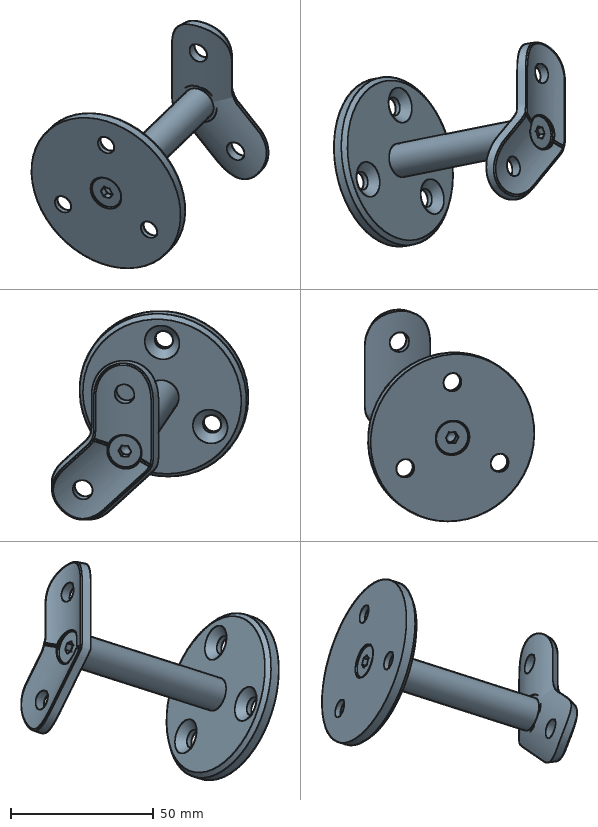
import cadquery as cq
import math


plate_diameter = 60.0
plate_thickness = 5.0
plate_chamfer = 1.5
mount_hole_diameter = 6.5
mount_countersink_depth = 3.0
mount_countersink_diameter = mount_hole_diameter + 2 * mount_countersink_depth
mount_hole_count = 3
mount_circle_radius = 20.0
first_mount_hole_angle = 90

screw_shank_diameter = 6.0
screw_clearance_diameter = 6.2
screw_head_diameter = 11.6
countersink_diameter = 12.5
countersink_depth = (countersink_diameter - screw_clearance_diameter) / 2
screw_tip = 20.0
socket_width = 4.0
socket_depth = 2.5
socket_tip_depth = socket_width / 4
screw_head_sink = (countersink_diameter - screw_head_diameter) / 2
screw_head_end = screw_head_sink + (screw_head_diameter - screw_shank_diameter) / 2

rod_diameter = 12.0
rod_seat_diameter = 14.5
rod_seat_depth = 0.5

saddle_front = 66.95
saddle_thickness = 3.65
rail_radius = 24.15
saddle_outer_radius = rail_radius + saddle_thickness
saddle_back = saddle_front + saddle_thickness
rail_axis_y = saddle_front + saddle_outer_radius
arm_half_width = 12.0
arm_straight_length = 20.0
arm_end_depth = 12.5
arm_length = arm_straight_length + arm_end_depth
arm_half_angle = math.asin(arm_half_width / saddle_outer_radius)
arm_hole_diameter = 7.0
arm_hole_distance = 21.3
arm_angle = 135
mitre_angle = math.radians(90 - arm_angle / 2)
corner_radius = 8.4
inner_rim_chamfer = 0.5
wedge_near = 0.8 * rail_radius
wedge_far = 1.2 * saddle_outer_radius

rod_end = saddle_front + rod_seat_depth


def cylinder_y(diameter, start, end, x=0, z=0):
    """Cylinder along +Y from y = start to y = end."""
    axis_start = cq.Vector(x, start, z)
    return cq.Workplane(cq.Solid.makeCylinder(diameter / 2, end - start, axis_start, cq.Vector(0, 1, 0)))


def cone_y(start_diameter, end_diameter, start, end):
    """Cone on the Y axis from y = start to y = end."""
    return cq.Workplane(cq.Solid.makeCone(
        start_diameter / 2, end_diameter / 2, end - start, cq.Vector(0, start, 0), cq.Vector(0, 1, 0)))


def make_plate():
    plate = cylinder_y(plate_diameter, 0, plate_thickness).faces(">Y").chamfer(plate_chamfer)
    for i in range(mount_hole_count):
        angle = math.radians(first_mount_hole_angle + i * 360 / mount_hole_count)
        x = mount_circle_radius * math.cos(angle)
        z = mount_circle_radius * math.sin(angle)
        countersink = cone_y(
            mount_hole_diameter, mount_countersink_diameter,
            plate_thickness - mount_countersink_depth, plate_thickness)
        plate = plate.cut(cylinder_y(mount_hole_diameter, 0, plate_thickness, x, z))
        plate = plate.cut(countersink.translate((x, 0, z)))
    plate = plate.cut(cone_y(countersink_diameter, screw_clearance_diameter, 0, countersink_depth))
    return plate.cut(cylinder_y(screw_clearance_diameter, 0, plate_thickness))


def facing_saddle(shape):
    """Turn a shape made at the plate's wall face around, to start at the saddle's inner face."""
    return shape.rotate((0, 0, 0), (0, 0, 1), 180).translate((0, saddle_back, 0))


def make_screw():
    screw = cone_y(screw_head_diameter, screw_shank_diameter, screw_head_sink, screw_head_end)
    screw = screw.union(cylinder_y(screw_shank_diameter, screw_head_end, screw_tip))
    socket_corners = socket_width / math.cos(math.pi / 6)
    socket_end = screw_head_sink + socket_depth
    socket = (
        cq.Workplane("XZ", origin=(0, screw_head_sink, 0))
        .polygon(6, socket_corners)
        .extrude(-socket_depth)
    )
    socket_tip = cone_y(socket_width, 0, socket_end, socket_end + socket_tip_depth)
    return screw.cut(socket).cut(socket_tip)


def make_rod():
    """Rod with a bore at each end, widened where the conical screw head reaches into it."""
    rod = cylinder_y(rod_diameter, plate_thickness, rod_end)
    bore = cylinder_y(screw_shank_diameter, 0, screw_tip)
    head_relief = cone_y(screw_head_diameter, screw_shank_diameter, screw_head_sink, screw_head_end)
    return rod.cut(bore).cut(facing_saddle(bore)).cut(facing_saddle(head_relief))


def arm_outline(distance):
    """Arm outline at a distance from the rail axis, from the mitre to the round end.

    Where the arms meet, the outer corner is rounded off and the inner corner is filled by a round.
    """
    half_width = distance * math.tan(arm_half_angle)
    slope = math.tan(mitre_angle)
    corner_x = half_width - corner_radius
    corner_z = corner_x * slope
    inner_x = half_width + corner_radius
    inner_z = inner_x * slope
    reach_x = corner_radius * math.cos(mitre_angle)
    reach_z = corner_radius * math.sin(mitre_angle)
    middle_angle = mitre_angle / 2
    middle_x = corner_radius * math.cos(middle_angle)
    middle_z = corner_radius * math.sin(middle_angle)
    return (
        cq.Workplane("XZ", origin=(0, rail_axis_y - distance, 0))
        .moveTo(inner_x - reach_x, inner_z - reach_z)
        .threePointArc((inner_x - middle_x, inner_z - middle_z), (half_width, inner_z))
        .lineTo(half_width, arm_straight_length)
        .ellipseArc(half_width, arm_end_depth, 0, 90, startAtCurrent=True)
        .ellipseArc(half_width, arm_end_depth, 90, 180, startAtCurrent=True)
        .lineTo(-half_width, -corner_z)
        .threePointArc((-corner_x - middle_x, -corner_z - middle_z), (-corner_x - reach_x, -corner_z - reach_z))
        .close()
        .val()
    )


def make_arm():
    """Vertical arm: a tube sector with sides that point at the rail axis, ending at the mitre."""
    wedge = cq.Solid.makeLoft([arm_outline(wedge_near), arm_outline(wedge_far)], True)
    tube = (
        cq.Workplane("XY", origin=(0, rail_axis_y, -arm_length))
        .circle(saddle_outer_radius)
        .circle(rail_radius)
        .extrude(2 * arm_length)
    )
    hole = cylinder_y(arm_hole_diameter, saddle_front, rail_axis_y, 0, arm_hole_distance)
    arm = tube.intersect(cq.Workplane(wedge))
    inner_rim = arm.faces("%CYLINDER").faces(">Y").edges("not %ELLIPSE")
    return inner_rim.chamfer(inner_rim_chamfer).cut(hole)


def make_saddle():
    arm = make_arm()
    mitre_normal = cq.Vector(-math.sin(mitre_angle), 0, math.cos(mitre_angle))
    saddle = arm.union(arm.mirror(mitre_normal))
    saddle = saddle.cut(cylinder_y(rod_seat_diameter, 0, rod_end))
    saddle = saddle.cut(cylinder_y(screw_clearance_diameter, saddle_front, saddle_back))
    saddle = saddle.cut(cone_y(
        screw_clearance_diameter, countersink_diameter, saddle_back - countersink_depth, saddle_back))
    return saddle.cut(cylinder_y(countersink_diameter, saddle_back, rail_axis_y))


plate = make_plate()
plate_screw = make_screw()
saddle_screw = facing_saddle(make_screw())
rod = make_rod()
saddle = make_saddle()

bodies = [plate, plate_screw, saddle_screw, rod, saddle]
result = cq.Compound.makeCompound([body.solids().val() for body in bodies])